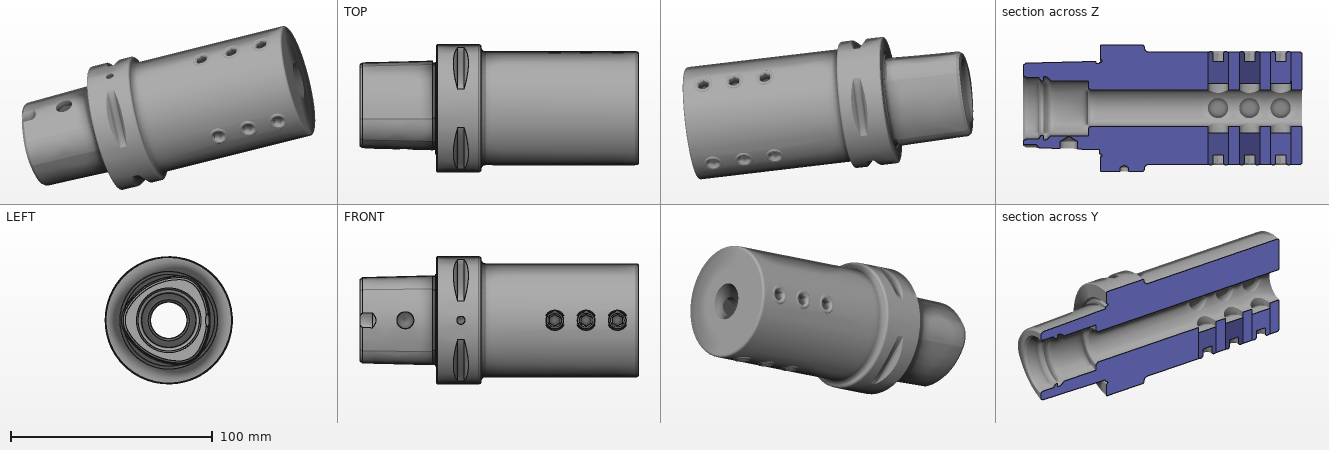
import cadquery as cq
import math


FLANGE_RADIUS = 31.5
FLANGE_LENGTH = 22.0
FLANGE_FRONT_CHAMFER = 0.4
FLANGE_BACK_FILLET = 1.2
HOLDER_RADIUS = 28.0
HOLDER_END = 100.0
HOLDER_END_FILLET = 1.2
NECK_FILLET = 2.0

SHANK_LENGTH = 38.0
POLYGON_WIDTH = 44.0
POLYGON_ARC_OFFSET = 10.5
TAPER_PER_SIDE = 1 / 40
TIP_CHAMFER_LENGTH = 1.4
TIP_CHAMFER_HEIGHT = 1.0
RELIEF_LENGTH = 2.0
RELIEF_INSET = 0.1
RELIEF_RADIUS = 22.4

COLLAR_RADIUS = 22.7
COLLAR_HEIGHT = 0.5
FACE_GROOVE_RADIUS = 0.75

MOUTH_RADIUS = 16.0
MOUTH_CHAMFER_DEPTH = 1.4
ENTRY_RADIUS = 15.2
ENTRY_DEPTH = 7.4
LIP_CONE_LENGTH = 1.0
LIP_CONE_RADIUS = 13.8
LIP_RADIUS = 13.4
LIP_END_DEPTH = 10.0
CLAMP_GROOVE_RADIUS = 15.5
CLAMP_GROOVE_FILLET = 1.5
CLAMP_FILLET_DEPTH = 11.0
CLAMP_CONE_ANGLE = math.radians(45)
CAVITY_RADIUS = 13.5
CAVITY_DEPTH = 32.0
THROUGH_MOUTH_RADIUS = 10.2
THROUGH_RADIUS = 9.0

GRIPPER_ANGLES = (45, 135, 225, 315)
GRIPPER_X = 12.0
GRIPPER_FLOOR_RADIUS = 28.0
GRIPPER_FLOOR_WIDTH = 3.2
GRIPPER_RIM_WIDTH = 7.5

DRILL_POINT_ANGLE = 118.0
SHANK_HOLE_X = -15.5
SHANK_HOLE_RADIUS = 4.2
SHANK_HOLE_BOTTOM_Y = -16.5
FLANGE_HOLE_X = 12.0
FLANGE_HOLE_RADIUS = 2.0
FLANGE_HOLE_BOTTOM_Y = -29.5
TIP_SLOT_RADIUS = 5.3
TIP_SLOT_AXIS_Y = -23.4
TIP_SLOT_LENGTH = 6.2
TIP_SLOT_POINT_ANGLE = 90.0

SCREW_RADIUS = 5.0
SCREW_LENGTH = 16.0
SCREW_HEAD_RADIUS = 28.2
SCREW_CHAMFER = 0.8
SOCKET_WIDTH = 5.0
SOCKET_DEPTH = 5.0
SOCKET_MOUTH_RADIUS = 3.4
SCREW_FIRST_X = 58.5
SCREW_SPACING = 15.5
SCREW_COUNT = 3
SCREW_ROW_ANGLES = (0, 90, 180)


def turned(points):
    """Solid of revolution about X from a closed outline of (x, radius) points."""
    return cq.Workplane("XY").polyline(points).close().revolve(360, (0, 0), (1, 0))


def polygon_section(x, inset):
    """Wire of the shank polygon at x, shrunk by inset on every side; one lobe points to +Y."""
    arc_difference = math.sqrt(3) * POLYGON_ARC_OFFSET
    lobe_radius = (POLYGON_WIDTH - arc_difference) / 2 - inset
    flat_radius = (POLYGON_WIDTH + arc_difference) / 2 - inset

    def arc_point(centre_angle, radius, direction):
        centre = math.radians(centre_angle)
        normal = math.radians(direction)
        y = POLYGON_ARC_OFFSET * math.cos(centre) + radius * math.cos(normal)
        z = POLYGON_ARC_OFFSET * math.sin(centre) + radius * math.sin(normal)
        return cq.Vector(x, y, z)

    edges = []
    for lobe in (0, 120, 240):
        flat = lobe + 60
        opposite = flat + 180
        edges.append(cq.Edge.makeThreePointArc(
            arc_point(lobe, lobe_radius, lobe - 30),
            arc_point(lobe, lobe_radius, lobe),
            arc_point(lobe, lobe_radius, lobe + 30)))
        edges.append(cq.Edge.makeThreePointArc(
            arc_point(opposite, flat_radius, flat - 30),
            arc_point(opposite, flat_radius, flat),
            arc_point(opposite, flat_radius, flat + 30)))
    return cq.Wire.assembleEdges(edges)


def polygon_frustum(x_start, inset_start, x_end, inset_end):
    """Ruled solid between two polygon sections."""
    sections = [polygon_section(x_start, inset_start), polygon_section(x_end, inset_end)]
    return cq.Workplane(cq.Solid.makeLoft(sections, True))


def make_shank():
    tip_x = -SHANK_LENGTH
    chamfer_x = tip_x + TIP_CHAMFER_LENGTH
    relief_x = -RELIEF_LENGTH
    chamfer_inset = (relief_x - chamfer_x) * TAPER_PER_SIDE
    tip = polygon_frustum(tip_x, chamfer_inset + TIP_CHAMFER_HEIGHT, chamfer_x, chamfer_inset)
    taper = polygon_frustum(chamfer_x, chamfer_inset, relief_x, 0)
    foot_x = FLANGE_LENGTH / 2
    relief = polygon_frustum(relief_x, RELIEF_INSET, foot_x, RELIEF_INSET)
    relief_limit = cq.Workplane("YZ", origin=(relief_x, 0, 0)).circle(RELIEF_RADIUS)
    relief_limit = relief_limit.extrude(foot_x - relief_x)
    return taper.union(tip).union(relief.intersect(relief_limit))


def make_flange_and_holder():
    outline = (
        cq.Workplane("XY")
        .moveTo(0, 0)
        .lineTo(0, FLANGE_RADIUS - FLANGE_FRONT_CHAMFER)
        .lineTo(FLANGE_FRONT_CHAMFER, FLANGE_RADIUS)
        .lineTo(FLANGE_LENGTH - FLANGE_BACK_FILLET, FLANGE_RADIUS)
        .tangentArcPoint((FLANGE_BACK_FILLET, -FLANGE_BACK_FILLET))
        .lineTo(FLANGE_LENGTH, HOLDER_RADIUS + NECK_FILLET)
        .tangentArcPoint((NECK_FILLET, -NECK_FILLET))
        .lineTo(HOLDER_END - HOLDER_END_FILLET, HOLDER_RADIUS)
        .tangentArcPoint((HOLDER_END_FILLET, -HOLDER_END_FILLET))
        .lineTo(HOLDER_END, 0)
        .close()
    )
    turned_body = outline.revolve(360, (0, 0), (1, 0))
    groove_bottom = (FACE_GROOVE_RADIUS, COLLAR_RADIUS + FACE_GROOVE_RADIUS)
    groove_rim = (0, COLLAR_RADIUS + 2 * FACE_GROOVE_RADIUS)
    groove = cq.Workplane("XY").moveTo(0, COLLAR_RADIUS).threePointArc(groove_bottom, groove_rim)
    groove = groove.close().revolve(360, (0, 0), (1, 0))
    collar = cq.Workplane("YZ").circle(COLLAR_RADIUS).extrude(-COLLAR_HEIGHT)
    return turned_body.cut(groove).union(collar)


def make_bore():
    lip_cone_depth = ENTRY_DEPTH + LIP_CONE_LENGTH
    lip_chamfer = LIP_CONE_RADIUS - LIP_RADIUS
    cone_start_depth = CLAMP_FILLET_DEPTH + CLAMP_GROOVE_FILLET * math.sin(CLAMP_CONE_ANGLE)
    cone_start_radius = CLAMP_GROOVE_RADIUS - CLAMP_GROOVE_FILLET * (1 - math.cos(CLAMP_CONE_ANGLE))
    cone_end_depth = cone_start_depth + (cone_start_radius - CAVITY_RADIUS) / math.tan(CLAMP_CONE_ANGLE)
    through_mouth_depth = THROUGH_MOUTH_RADIUS - THROUGH_RADIUS
    outline = (
        cq.Workplane("XY")
        .moveTo(0, 0)
        .lineTo(0, MOUTH_RADIUS)
        .lineTo(MOUTH_CHAMFER_DEPTH, ENTRY_RADIUS)
        .lineTo(ENTRY_DEPTH, ENTRY_RADIUS)
        .lineTo(lip_cone_depth, LIP_CONE_RADIUS)
        .lineTo(lip_cone_depth + lip_chamfer, LIP_RADIUS)
        .lineTo(LIP_END_DEPTH, LIP_RADIUS)
        .lineTo(LIP_END_DEPTH, CLAMP_GROOVE_RADIUS)
        .lineTo(CLAMP_FILLET_DEPTH, CLAMP_GROOVE_RADIUS)
        .tangentArcPoint((cone_start_depth, cone_start_radius), relative=False)
        .lineTo(cone_end_depth, CAVITY_RADIUS)
        .lineTo(CAVITY_DEPTH, CAVITY_RADIUS)
        .lineTo(CAVITY_DEPTH, THROUGH_MOUTH_RADIUS)
        .lineTo(CAVITY_DEPTH + through_mouth_depth, THROUGH_RADIUS)
        .lineTo(SHANK_LENGTH + HOLDER_END, THROUGH_RADIUS)
        .lineTo(SHANK_LENGTH + HOLDER_END, 0)
        .close()
    )
    return outline.revolve(360, (0, 0), (1, 0)).translate((-SHANK_LENGTH, 0, 0))


def make_gripper_slot(angle):
    """Flat-bottomed slot with sloping sides, tangent to the rim at the given angle about X."""
    half_floor = GRIPPER_FLOOR_WIDTH / 2
    half_rim = GRIPPER_RIM_WIDTH / 2
    section = [
        (GRIPPER_X - half_floor, GRIPPER_FLOOR_RADIUS),
        (GRIPPER_X + half_floor, GRIPPER_FLOOR_RADIUS),
        (GRIPPER_X + half_rim, FLANGE_RADIUS),
        (GRIPPER_X - half_rim, FLANGE_RADIUS),
    ]
    slot = cq.Workplane("XZ").polyline(section).close().extrude(FLANGE_RADIUS, both=True)
    return slot.rotate((0, 0, 0), (1, 0, 0), angle)


def make_drill(radius, length, point_angle):
    """Pointed drill starting at the origin and running along +X."""
    point = radius / math.tan(math.radians(point_angle / 2))
    return turned([(0, 0), (0, radius), (length, radius), (length + point, 0)])


def make_side_hole(x, radius, bottom_y):
    """Blind hole drilled from the -Y side; bottom_y is where its conical end starts."""
    drill = make_drill(radius, FLANGE_RADIUS + bottom_y, DRILL_POINT_ANGLE)
    return drill.rotate((0, 0, 0), (0, 0, 1), 90).translate((x, -FLANGE_RADIUS, 0))


def make_tip_slot():
    drill = make_drill(TIP_SLOT_RADIUS, TIP_SLOT_LENGTH, TIP_SLOT_POINT_ANGLE)
    drill = drill.rotate((0, 0, 0), (1, 0, 0), 180)
    return drill.translate((-SHANK_LENGTH, TIP_SLOT_AXIS_Y, 0))


def make_screw_blank():
    """Screw without its socket, outer face at the origin, running along +X."""
    return turned([
        (0, 0),
        (0, SCREW_RADIUS - SCREW_CHAMFER),
        (SCREW_CHAMFER, SCREW_RADIUS),
        (SCREW_LENGTH, SCREW_RADIUS),
        (SCREW_LENGTH, 0),
    ])


def make_screw():
    corner_diameter = SOCKET_WIDTH / math.cos(math.radians(30))
    socket = cq.Workplane("YZ").polygon(6, corner_diameter).extrude(SOCKET_DEPTH)
    socket = socket.rotate((0, 0, 0), (1, 0, 0), 30)
    socket_mouth = turned([(0, 0), (0, SOCKET_MOUTH_RADIUS), (SOCKET_MOUTH_RADIUS, 0)])
    return make_screw_blank().cut(socket).cut(socket_mouth)


def make_screw_hole():
    """Recess that fits the screw and goes on to the through bore."""
    passage = cq.Workplane("YZ", origin=(SCREW_LENGTH, 0, 0)).circle(SCREW_RADIUS)
    return make_screw_blank().union(passage.extrude(SCREW_HEAD_RADIUS - SCREW_LENGTH))


def place_in_rows(shape):
    """Copies of a shape at every screw position, its +X turned towards the tool axis."""
    inward = shape.rotate((0, 0, 0), (0, 0, 1), 90).translate((0, -SCREW_HEAD_RADIUS, 0))
    copies = []
    for angle in SCREW_ROW_ANGLES:
        for index in range(SCREW_COUNT):
            x = SCREW_FIRST_X + index * SCREW_SPACING
            copies.append(inward.translate((x, 0, 0)).rotate((0, 0, 0), (1, 0, 0), angle))
    return copies


def make_adapter():
    adapter = make_flange_and_holder().union(make_shank())
    adapter = adapter.cut(make_bore())
    for angle in GRIPPER_ANGLES:
        adapter = adapter.cut(make_gripper_slot(angle))
    adapter = adapter.cut(make_side_hole(SHANK_HOLE_X, SHANK_HOLE_RADIUS, SHANK_HOLE_BOTTOM_Y))
    adapter = adapter.cut(make_side_hole(FLANGE_HOLE_X, FLANGE_HOLE_RADIUS, FLANGE_HOLE_BOTTOM_Y))
    adapter = adapter.cut(make_tip_slot())
    for hole in place_in_rows(make_screw_hole()):
        adapter = adapter.cut(hole)
    return adapter


adapter = make_adapter()
screws = place_in_rows(make_screw())

result = cq.Compound.makeCompound([adapter.val(), *[screw.val() for screw in screws]])